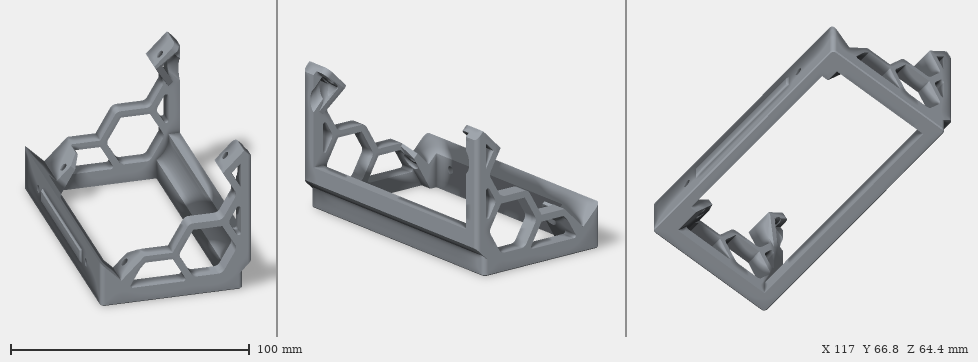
import cadquery as cq
import math

width = 117.0
depth = 66.0
base_depth = 62.0
corner_radius = 2.0
bottom_chamfer = 0.5
arm_thickness = 7.25
plate_thickness = 5.0

mount_offset = 2.0
overall_height = 64.43
notch_y = 9.0

cell_flats = 22.0
cell_wall = 3.0
main_cell_y = 46.6
main_cell_z = 19.5
cell_radius = 3.0
small_cell_radius = 1.0
rear_wall_y = 61.0
lower_cell_floor = 7.0
front_mount_wall = 2.5
rear_mount_wall = 3.0

rear_tab_width = 13.0
front_right_tab_width = 13.0
front_left_tab_width = 19.2
tab_hole_edge = 4.0
tab_hole_diameter = 3.5
hole_to_tab_end = 8.0
screw_head_diameter = 8.0
screw_seat_depth = 2.5
front_bore_length = 3.0
front_hole_y = 12.9
hole_spacing = 62.0
rear_tab_radius = 3.0
front_tab_chamfer = 5.0
rear_tab_tip_drop = 1.2
crease_drop = 0.3
crease_end_z = 46.9
support_foot_z = 42.5
support_foot_setback = 0.5

bar_height = 20.0
bar_foot_y = 55.75
bar_lip_y = 61.0
bar_hollow_radius = 11.0
bar_hollow_z = 18.0

plate_hole_diameter = 3.5
plate_hole_x = 36.0
detail_z = 10.0
pad_length = 60.0
pad_height = 6.2
pad_rise = 0.8
pad_flank_angle = 45.0

half_width = width / 2
arm_inner_x = half_width - arm_thickness
cell_side = cell_flats / math.sqrt(3)
pitch_z = cell_flats + cell_wall
pitch_y = pitch_z * math.sqrt(3) / 2
half_pitch_z = pitch_z / 2
diagonal = math.sqrt(2)
mount_top_y = overall_height - mount_offset
rear_hole_y = front_hole_y + hole_spacing / diagonal
rear_step = depth - base_depth
rear_step_z = 9.0
over = 20.0


def cell_corners(columns, half_rows):
    """Corners of a honeycomb cell, counter-clockwise from the rearmost one (highest y)."""
    y = main_cell_y + columns * pitch_y
    z = main_cell_z + half_rows * half_pitch_z
    angles = [math.radians(60 * i) for i in range(6)]
    return [(y + cell_side * math.cos(a), z + cell_side * math.sin(a)) for a in angles]


def at_y(p, q, y):
    """Point at the given y on the line through p and q."""
    return (y, p[1] + (y - p[0]) * (q[1] - p[1]) / (q[0] - p[0]))


def at_z(p, q, z):
    """Point at the given z on the line through p and q."""
    return (p[0] + (z - p[1]) * (q[0] - p[0]) / (q[1] - p[1]), z)


def mount_crossing(p, q, inset):
    """Point where the line through p and q meets the mounting face moved inwards by inset."""
    offset = mount_offset - inset * diagonal
    gap_p = p[1] - p[0] - offset
    gap_q = q[1] - q[0] - offset
    t = gap_p / (gap_p - gap_q)
    return (p[0] + t * (q[0] - p[0]), p[1] + t * (q[1] - p[1]))


def on_mount(y, inset=0.0):
    """Point at y on the mounting face moved inwards by inset."""
    return (y, y + mount_offset - inset * diagonal)


def side_prism(corners, x_start, x_end):
    """Extrude a side outline along X; a corner (y, z, r) is rounded with radius r."""
    wire = None
    count = len(corners)
    for i, corner in enumerate(corners):
        y, z = corner[:2]
        radius = corner[2] if len(corner) > 2 else 0.0
        if radius == 0.0:
            stops = [(y, z)]
        else:
            rays = []
            for other in (corners[i - 1], corners[(i + 1) % count]):
                length = math.hypot(other[0] - y, other[1] - z)
                rays.append(((other[0] - y) / length, (other[1] - z) / length))
            (ay, az), (by, bz) = rays
            half_angle = math.acos(ay * by + az * bz) / 2
            reach = radius / math.tan(half_angle)
            middle = radius / math.sin(half_angle) - radius
            bisector = math.hypot(ay + by, az + bz)
            stops = [
                (y + reach * ay, z + reach * az),
                (y + middle * (ay + by) / bisector, z + middle * (az + bz) / bisector),
                (y + reach * by, z + reach * bz),
            ]
        if wire is None:
            wire = cq.Workplane("YZ", origin=(x_start, 0, 0)).moveTo(*stops[0])
        else:
            wire = wire.lineTo(*stops[0])
        if len(stops) > 1:
            wire = wire.threePointArc(stops[1], stops[2])
    return wire.close().extrude(x_end - x_start)


def rounded(point, radius):
    """Mark an outline corner for rounding."""
    return (point[0], point[1], radius)


main_cell = cell_corners(0, 0)
upper_cell = cell_corners(0, 2)
front_upper_cell = cell_corners(-1, 1)
rear_cell = cell_corners(1, 1)
top_cell = cell_corners(1, 3)
lower_cell = cell_corners(-1, -1)

front_step_z = front_upper_cell[4][1]
front_step_y = front_step_z - mount_offset
rear_tab_tip = mount_crossing(upper_cell[0], upper_cell[1], 0.0)
shoulder = (main_cell_y - (cell_flats / 2 + cell_wall) / math.sqrt(3), upper_cell[4][1])
plate_top = (0, on_mount(notch_y)[1] + notch_y)
rear_top = (depth, overall_height - (depth - mount_top_y))


def frame_sides():
    """Both arms, before the cells are cut."""
    outline = [
        (0, 0),
        plate_top,
        on_mount(notch_y),
        (front_step_y, front_step_z),
        front_upper_cell[5],
        rounded(shoulder, cell_radius),
        rounded(upper_cell[5], cell_radius),
        rounded(upper_cell[0], cell_radius),
        rear_tab_tip,
        on_mount(mount_top_y),
        rear_top,
        (depth, rear_step_z + rear_step),
        (base_depth, rear_step_z),
        (base_depth, 0),
    ]
    left = side_prism(outline, -half_width, -arm_inner_x)
    return left.union(side_prism(outline, arm_inner_x, half_width))


def front_plate():
    """Plate across the front; its top follows the front flank of the V notch."""
    plate_top_inside = (plate_thickness, plate_top[1] - plate_thickness)
    outline = [(0, 0), plate_top, plate_top_inside, (plate_thickness, 0)]
    return side_prism(outline, -half_width, half_width)


def crossbar():
    """Rear bar with a cylindrical hollow under an upright lip."""
    outline = [
        (bar_foot_y, 0),
        (bar_foot_y, bar_height),
        (depth, bar_height),
        (depth, rear_step_z + rear_step),
        (base_depth, rear_step_z),
        (base_depth, 0),
    ]
    bar = side_prism(outline, -half_width, half_width)
    hollow = (
        cq.Workplane("YZ", origin=(-arm_inner_x, bar_lip_y - bar_hollow_radius, bar_hollow_z))
        .circle(bar_hollow_radius)
        .extrude(2 * arm_inner_x)
    )
    above_axis = side_prism(
        [
            (bar_foot_y, bar_hollow_z),
            (bar_lip_y, bar_hollow_z),
            (bar_lip_y, bar_height),
            (bar_foot_y, bar_height),
        ],
        -arm_inner_x,
        arm_inner_x,
    )
    return bar.cut(hollow).cut(above_axis)


def mount_plane(x, y):
    """Workplane on the mounting face with local y pointing up the slope."""
    plane = cq.Plane(origin=(x, *on_mount(y)), xDir=(1, 0, 0), normal=(0, -1, 1))
    return cq.Workplane(plane)


def front_mount(tab_width, side):
    """Solid mount behind the front plate, cut off along the lower cell; side is -1 or 1."""
    outline = [
        (0, 0),
        plate_top,
        on_mount(notch_y),
        (front_step_y, front_step_z),
        at_z(lower_cell[3], lower_cell[2], front_step_z),
        at_z(lower_cell[3], lower_cell[2], 0),
    ]
    inner_x = half_width - tab_width
    mount = side_prism(outline, inner_x, arm_inner_x)
    end_trim = (
        mount_plane(inner_x, front_hole_y + hole_to_tab_end / diagonal)
        .polyline(
            [
                (0, -front_tab_chamfer),
                (front_tab_chamfer, 0),
                (tab_width, 0),
                (tab_width, over),
                (0, over),
            ]
        )
        .close()
        .extrude(-over)
    )
    mount = mount.cut(end_trim)
    return mount if side > 0 else mount.mirror("YZ")


def trim_plane(p, q, r):
    """Waste block on the side of the plane from which p, q, r run counter-clockwise."""
    start, second, third = cq.Vector(*p), cq.Vector(*q), cq.Vector(*r)
    normal = (second - start).cross(third - start)
    plane = cq.Plane(origin=start, xDir=second - start, normal=normal)
    return cq.Workplane(plane).rect(4 * over, 4 * over).extrude(over)


def rear_tab(side):
    """Rear tab on a support wall that tapers down to the arm; side is -1 or 1."""
    inner_x = half_width - rear_tab_width
    top = on_mount(mount_top_y)
    top_back = (top[0] + rear_mount_wall / diagonal, top[1] - rear_mount_wall / diagonal)
    wall_front = upper_cell[:2]
    wall_back = top_cell[3:5]
    foot = at_z(*wall_front, support_foot_z)
    outline = [
        rear_tab_tip,
        top,
        top_back,
        mount_crossing(*wall_back, rear_mount_wall),
        at_z(*wall_back, support_foot_z),
        foot,
    ]
    tab = side_prism(outline, inner_x, arm_inner_x)

    foot_corner = (arm_inner_x, foot[0] + support_foot_setback, support_foot_z)
    tip_corner = (inner_x, *at_z(*wall_front, rear_tab_tip[1] - rear_tab_tip_drop))
    crease_start = (inner_x, *at_z(*wall_front, rear_tab_tip[1] - crease_drop))
    crease_end = (arm_inner_x, *at_z(*wall_front, crease_end_z))
    tab = tab.cut(trim_plane((inner_x, *top_back), foot_corner, tip_corner))
    tab = tab.cut(trim_plane(crease_start, foot_corner, crease_end))

    corner = (
        mount_plane(inner_x, mount_top_y)
        .lineTo(rear_tab_radius, 0)
        .radiusArc((0, -rear_tab_radius), -rear_tab_radius)
        .close()
        .extrude(-over)
    )
    tab = tab.cut(corner)
    return tab if side > 0 else tab.mirror("YZ")


def tab_hole(x, y):
    """Screw hole square to the mounting face."""
    return mount_plane(x, y).circle(tab_hole_diameter / 2).extrude(-over / 2)


def screw_head_bore(x, y, length):
    """Screw head clearance behind a tab, starting at the seat."""
    seat = mount_plane(x, y).workplane(offset=-screw_seat_depth)
    return seat.circle(screw_head_diameter / 2).extrude(-length)


def arm_cells():
    """Openings through both arms."""
    main = main_cell[1:3] + [rounded(c, cell_radius) for c in main_cell[3:] + main_cell[:1]]
    rear = [
        rounded(rear_cell[3], cell_radius),
        rounded(at_y(rear_cell[3], rear_cell[2], rear_wall_y), small_cell_radius),
        rounded(at_y(rear_cell[3], rear_cell[4], rear_wall_y), small_cell_radius),
    ]
    top = [
        mount_crossing(top_cell[3], top_cell[4], rear_mount_wall),
        on_mount(rear_wall_y, rear_mount_wall),
        at_y(top_cell[3], top_cell[4], rear_wall_y),
    ]
    lower = [
        rounded((lower_cell[3][0], lower_cell_floor), small_cell_radius),
        mount_crossing(lower_cell[3], lower_cell[2], front_mount_wall),
        mount_crossing(lower_cell[2], lower_cell[1], front_mount_wall),
        lower_cell[1],
        rounded((lower_cell[0][0], lower_cell_floor), small_cell_radius),
    ]
    return [
        side_prism(outline, x, x + arm_thickness)
        for outline in (main, rear, top, lower)
        for x in (-half_width, arm_inner_x)
    ]


def corner_trim(side, y, inward):
    """Waste outside one rounded vertical corner; inward is the y direction into the part."""
    return (
        cq.Workplane("XY")
        .moveTo(side * half_width, y)
        .lineTo(side * half_width, y + inward * corner_radius)
        .radiusArc((side * (half_width - corner_radius), y), side * inward * corner_radius)
        .close()
        .extrude(overall_height)
    )


def below_rear_step():
    """Space under the 45 degree face of the rear step, continued into the part."""
    y_front = base_depth - corner_radius
    z_front = rear_step_z - corner_radius
    outline = [(y_front, 0), (y_front, z_front), (base_depth, rear_step_z), (base_depth, 0)]
    return side_prism(outline, -half_width, half_width)


def plate_holes():
    """Two holes through the front plate, either side of the pad."""
    return (
        cq.Workplane("XZ", origin=(0, 0, detail_z))
        .pushPoints([(-plate_hole_x, 0), (plate_hole_x, 0)])
        .circle(plate_hole_diameter / 2)
        .extrude(-plate_thickness)
    )


def pad():
    """Raised bar on the front plate with sloping flanks."""
    return (
        cq.Workplane("XZ", origin=(0, 0, detail_z))
        .rect(pad_length, pad_height)
        .extrude(pad_rise, taper=pad_flank_angle)
    )


frame = frame_sides().union(front_plate()).union(crossbar())
for cell in arm_cells():
    frame = frame.cut(cell)

front_tab_widths = {-1: front_left_tab_width, 1: front_right_tab_width}
for side, front_tab_width in front_tab_widths.items():
    frame = frame.union(front_mount(front_tab_width, side)).union(rear_tab(side))
for side, front_tab_width in front_tab_widths.items():
    front_hole_x = side * (half_width - front_tab_width + tab_hole_edge)
    rear_hole_x = side * (half_width - rear_tab_width + tab_hole_edge)
    frame = frame.cut(tab_hole(front_hole_x, front_hole_y))
    frame = frame.cut(tab_hole(rear_hole_x, rear_hole_y))
    frame = frame.cut(screw_head_bore(front_hole_x, front_hole_y, front_bore_length))
    frame = frame.cut(screw_head_bore(rear_hole_x, rear_hole_y, over))
    frame = frame.cut(corner_trim(side, 0, 1)).cut(corner_trim(side, depth, -1))
    frame = frame.cut(corner_trim(side, base_depth, -1).intersect(below_rear_step()))

underside_edges = frame.faces("<Z").val().outerWire().Edges()
frame = frame.newObject(underside_edges).chamfer(bottom_chamfer)

result = frame.cut(plate_holes()).union(pad())